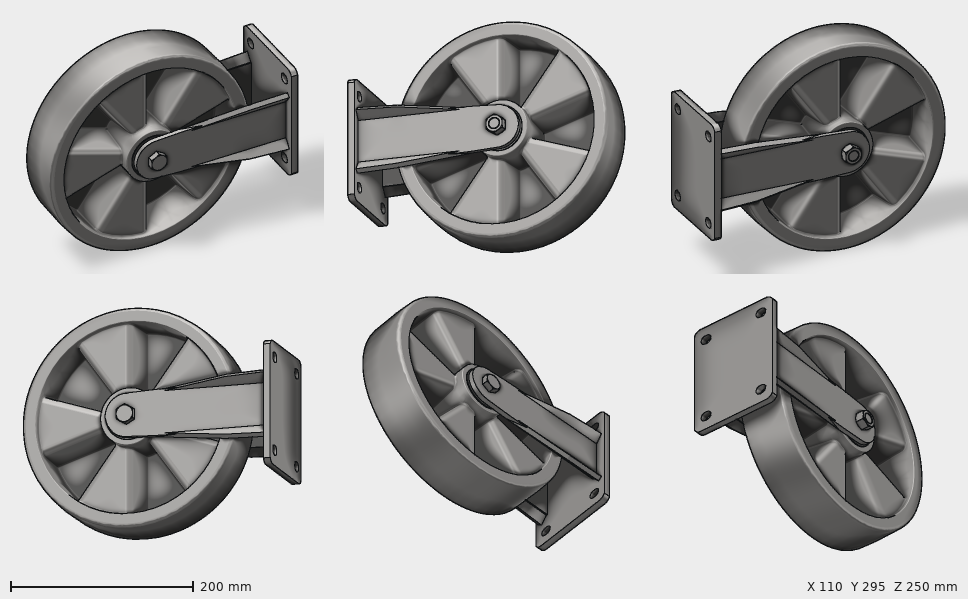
import cadquery as cq
import math


wheel_radius = 125.0
wheel_width = 60.0
tread_crown_radius = 400.0
tread_edge_radius = 4.0
rim_inner_radius = 108.3
rim_lip_radius = 1.0

hub_radius = 32.5
hub_length = 70.0
hub_edge_radius = 1.0
hub_boss_radius = 12.5
bearing_seat_radius = 26.0
bearing_seat_depth = 1.0

pocket_count = 5
web_face = 24.0
web_thickness = 6.0
rib_thickness = 5.0
rib_draft = 7.0
rim_draft = 2.5
hub_draft = 1.0
web_inner_bend = 2.0
web_outer_bend = web_inner_bend + web_thickness
ring_overlap = 4.0

plate_width = 110.0
plate_height = 140.0
plate_thickness = 8.0
plate_corner_radius = 10.5
plate_corner_trim = 1.25
plate_outer_y = 170.0
slot_spacing_x = 77.5
slot_spacing_z = 105.0
slot_length = 13.5
slot_width = 11.0
strap_inner_x = 36.5
strap_thickness = 6.0
strap_tip_radius = 24.5
strap_root_half_width = 28.0
flange_end_y = 31.0
flange_end_half_width = 26.0
flange_knee_y = 116.0
flange_bend = 38.0
flange_root_length = 13.5
flange_knee_length = 12.0

bolt_diameter = 12.0
hex_across_flats = 19.0
head_height = 7.5
nut_height = 10.8
hex_chamfer_angle = 30.0
thread_groove = 0.5

half_width = wheel_width / 2
half_hub = hub_length / 2
strap_outer_x = strap_inner_x + strap_thickness
plate_inner_y = plate_outer_y - plate_thickness

pick_margin = 0.1


def axle_bore():
    """Cylinder for the bolt hole, longer than the whole assembly is wide."""
    return (
        cq.Workplane("YZ", origin=(-plate_width, 0, 0))
        .circle(bolt_diameter / 2)
        .extrude(2 * plate_width)
    )


def wheel_blank():
    """Wheel with crowned tread and hub, still solid between hub and rim."""
    crown_drop = tread_crown_radius - math.sqrt(tread_crown_radius**2 - half_width**2)
    edge_radius = wheel_radius - crown_drop
    tread = (
        cq.Workplane("XZ")
        .moveTo(-half_width, 0)
        .lineTo(-half_width, edge_radius)
        .threePointArc((0, wheel_radius), (half_width, edge_radius))
        .lineTo(half_width, 0)
        .close()
        .revolve(360, (0, 0, 0), (1, 0, 0))
        .edges("%CIRCLE")
        .fillet(tread_edge_radius)
    )
    hub = (
        cq.Workplane("YZ", origin=(-half_hub, 0, 0))
        .circle(hub_radius)
        .extrude(hub_length)
        .edges()
        .fillet(hub_edge_radius)
    )
    boss = (
        cq.Workplane("YZ", origin=(-strap_inner_x, 0, 0))
        .circle(hub_boss_radius)
        .extrude(2 * strap_inner_x)
    )
    for end_x, inward in ((-half_hub, 1), (half_hub, -1)):
        seat = (
            cq.Workplane("YZ", origin=(end_x, 0, 0))
            .circle(bearing_seat_radius)
            .extrude(inward * bearing_seat_depth)
        )
        hub = hub.cut(seat)
    return tread.union(hub).union(boss)


def web_void():
    """Room on the -X side of the folded web: a shallow ring that opens into five deep wedge pockets."""
    floor = web_face - web_thickness
    depth = floor + half_width
    half_angle = math.pi / (2 * pocket_count)
    draft = math.radians(rib_draft)

    wall_offset = rib_thickness / 2 / math.cos(draft) + floor * math.tan(draft)
    apex = wall_offset / math.sin(half_angle)
    reach = 1.2 * wheel_radius
    half_spread = (reach - apex) * math.tan(half_angle)

    floor_plane = cq.Plane(origin=(floor, 0, 0), xDir=(0, -1, 0), normal=(-1, 0, 0))
    wedge = (
        cq.Workplane(floor_plane)
        .polyline([(apex, 0), (reach, half_spread), (reach, -half_spread)])
        .close()
        .extrude(depth, taper=-rib_draft)
    )
    side = cq.Workplane("YZ", origin=(-half_width, 0, 0))
    void = side.circle(reach).extrude(half_width - web_face)
    for i in range(pocket_count):
        void = void.union(wedge.rotate((0, 0, 0), (1, 0, 0), 360 * i / pocket_count))

    core = side.circle(hub_radius - ring_overlap).extrude(depth)
    outside = side.circle(2 * reach).circle(rim_inner_radius + ring_overlap).extrude(depth)
    void = void.cut(core).cut(outside)

    mouth = cq.selectors.BoxSelector(
        (-web_face - pick_margin, -reach, -reach),
        (-web_face + pick_margin, reach, reach),
    )
    void = void.edges(mouth).edges("%LINE").fillet(web_outer_bend)
    void = void.faces(">X").edges("%LINE").fillet(web_inner_bend)

    rim_taper = depth * math.tan(math.radians(rim_draft))
    hub_taper = depth * math.tan(math.radians(hub_draft))
    ring = (
        cq.Workplane("XY")
        .polyline(
            [
                (-half_width, hub_radius),
                (-half_width, rim_inner_radius),
                (floor, rim_inner_radius - rim_taper),
                (floor, hub_radius + hub_taper),
            ]
        )
        .close()
        .revolve(360, (0, 0, 0), (1, 0, 0))
    )
    void = void.intersect(ring)

    web_roots = [
        edge
        for edge in void.faces("%CONE").edges().vals()
        if edge.Center().x > -half_width + pick_margin
    ]
    return void.newObject(web_roots).fillet(web_inner_bend)


def make_wheel():
    void = web_void()
    wheel = wheel_blank().cut(void).cut(void.rotate((0, 0, 0), (0, 0, 1), 180))
    lips = [
        edge
        for edge in wheel.edges("%CIRCLE").vals()
        if abs(edge.radius() - rim_inner_radius) < pick_margin
    ]
    wheel = wheel.newObject(lips).fillet(rim_lip_radius)
    return wheel.cut(axle_bore())


def make_plate():
    """Mounting plate: a rounded blank trimmed at both sides, with four slots."""
    outer_face = cq.Workplane("XZ", origin=(0, plate_outer_y, 0))
    blank = (
        outer_face.rect(plate_width + 2 * plate_corner_trim, plate_height)
        .extrude(plate_thickness)
        .edges("|Y")
        .fillet(plate_corner_radius)
    )
    trim = outer_face.rect(plate_width, plate_height).extrude(plate_thickness)
    slots = (
        outer_face.rarray(slot_spacing_x, slot_spacing_z, 2, 2)
        .slot2D(slot_length, slot_width)
        .extrude(plate_thickness)
    )
    return blank.intersect(trim).cut(slots)


def make_strap():
    """Flat strap on the +X side, rounded around the axle."""
    distance = math.hypot(flange_end_y, flange_end_half_width)
    tangent = math.atan2(flange_end_half_width, flange_end_y) + math.acos(strap_tip_radius / distance)
    tip_y = strap_tip_radius * math.cos(tangent)
    tip_z = strap_tip_radius * math.sin(tangent)
    return (
        cq.Workplane("YZ", origin=(strap_inner_x, 0, 0))
        .moveTo(plate_inner_y, strap_root_half_width)
        .lineTo(flange_end_y, flange_end_half_width)
        .lineTo(tip_y, tip_z)
        .threePointArc((-strap_tip_radius, 0), (tip_y, -tip_z))
        .lineTo(flange_end_y, -flange_end_half_width)
        .lineTo(plate_inner_y, -strap_root_half_width)
        .close()
        .extrude(strap_thickness)
    )


def make_flange():
    """Stiffening flange bent outwards along the upper edge of the +X strap."""
    bend = math.radians(flange_bend)
    root_distance = plate_inner_y - flange_end_y
    knee_distance = flange_knee_y - flange_end_y
    bend_line = cq.Vector(0, root_distance, strap_root_half_width - flange_end_half_width)
    normal = cq.Vector(math.cos(bend), 0, -math.sin(bend))
    along = bend_line - normal * bend_line.dot(normal)
    plane = cq.Plane(
        origin=(strap_inner_x, flange_end_y, flange_end_half_width),
        xDir=along.toTuple(),
        normal=normal.toTuple(),
    )
    return (
        cq.Workplane(plane)
        .polyline(
            [
                (0, 0),
                (root_distance, 0),
                (root_distance, flange_root_length),
                (knee_distance, flange_knee_length),
            ]
        )
        .close()
        .extrude(strap_thickness)
    )


def make_fork():
    flange = make_flange()
    side = make_strap().union(flange).union(flange.mirror("XY"))
    return make_plate().union(side).union(side.mirror("YZ")).cut(axle_bore())


def hex_prism(start_x, height):
    """Hexagon around the axle with corners up and down; a negative height runs towards -X."""
    return (
        cq.Workplane("YZ", origin=(start_x, 0, 0))
        .transformed(rotate=(0, 0, 90))
        .polygon(6, hex_across_flats / math.cos(math.pi / 6))
        .extrude(height)
    )


def hex_cone(face_x, inward):
    """Cone that bevels the hexagon corners at face_x; it widens from there in the inward direction."""
    length = 2 * hex_across_flats
    start_radius = hex_across_flats / 2
    end_radius = start_radius + length / math.tan(math.radians(hex_chamfer_angle))
    base = cq.Vector(face_x, 0, 0)
    axis = cq.Vector(inward, 0, 0)
    return cq.Workplane(cq.Solid.makeCone(start_radius, end_radius, length, base, axis))


def make_axle():
    nut_end_x = -strap_outer_x - nut_height
    head_end_x = strap_outer_x + head_height
    shank = (
        cq.Workplane("YZ", origin=(nut_end_x, 0, 0))
        .circle(bolt_diameter / 2)
        .extrude(strap_outer_x - nut_end_x)
    )
    head = hex_prism(strap_outer_x, head_height).intersect(hex_cone(head_end_x, -1))
    nut = hex_prism(-strap_outer_x, -nut_height)
    nut = nut.intersect(hex_cone(nut_end_x, 1)).intersect(hex_cone(-strap_outer_x, -1))

    groove = cq.Workplane(
        cq.Solid.makeCone(
            bolt_diameter / 2 + thread_groove,
            bolt_diameter / 2,
            thread_groove,
            cq.Vector(nut_end_x, 0, 0),
            cq.Vector(1, 0, 0),
        )
    )
    return nut.cut(groove).union(shank).union(head)


wheel = make_wheel()
fork = make_fork()
axle = make_axle()

result = cq.Compound.makeCompound([wheel.val(), fork.val(), axle.val()])